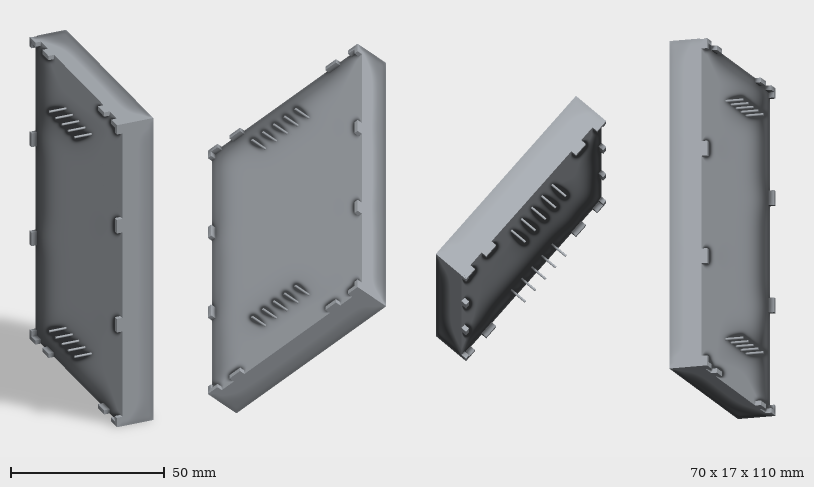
import cadquery as cq

width = 70.0
height = 110.0
panel_depth = 11.0
half_width = width / 2
half_height = height / 2

foot_height = 2.0
foot_thickness = 1.5
corner_foot_width = 4.5
corner_foot_height = 3.4
edge_foot_length = 5.0
edge_foot_inset = 10.1
side_foot_z = 18.0

pin_length = 6.0
pin_diameter = 0.8
pin_pitch = 5.1
pins_per_row = 5
row_spacing = 80.0

mark_width = 1.3
mark_length = 2.4
mark_depth = 0.2
mark_offset = 0.5

edge_foot_x = half_width - edge_foot_inset - edge_foot_length / 2
edge_foot_z = half_height - foot_thickness / 2
side_foot_x = half_width - foot_thickness / 2


def front_face():
    """Sketch plane on the front face: local x is X, local y is Z, normal is -Y."""
    return cq.Workplane("XZ")


def make_panel():
    return front_face().rect(width, height).extrude(-panel_depth)


def mirrored_points(x, z):
    return [(x_sign * x, z_sign * z) for x_sign in (-1, 1) for z_sign in (-1, 1)]


def make_edge_feet():
    positions = mirrored_points(edge_foot_x, edge_foot_z)
    return front_face().pushPoints(positions).rect(edge_foot_length, foot_thickness).extrude(foot_height)


def make_side_feet():
    positions = mirrored_points(side_foot_x, side_foot_z)
    return front_face().pushPoints(positions).rect(foot_thickness, edge_foot_length).extrude(foot_height)


def make_corner_foot(x_sign, z_sign):
    """L-shaped foot whose outer corner is the corner of the panel."""
    insets = [
        (0, 0),
        (corner_foot_width, 0),
        (corner_foot_width, foot_thickness),
        (foot_thickness, foot_thickness),
        (foot_thickness, corner_foot_height),
        (0, corner_foot_height),
    ]
    outline = [(x_sign * (half_width - dx), z_sign * (half_height - dz)) for dx, dz in insets]
    return front_face().polyline(outline).close().extrude(foot_height)


def make_pins():
    return (
        front_face()
        .rarray(pin_pitch, row_spacing, pins_per_row, 2)
        .circle(pin_diameter / 2)
        .extrude(pin_length)
    )


def make_mark():
    outline = [
        (-half_width, mark_offset),
        (-half_width + mark_width, mark_offset),
        (-half_width, mark_offset - mark_length),
    ]
    return cq.Workplane("XY", origin=(0, 0, half_height)).polyline(outline).close().extrude(-mark_depth)


result = make_panel().union(make_edge_feet()).union(make_side_feet()).union(make_pins())
for x_sign, z_sign in mirrored_points(1, 1):
    result = result.union(make_corner_foot(x_sign, z_sign))
result = result.cut(make_mark())